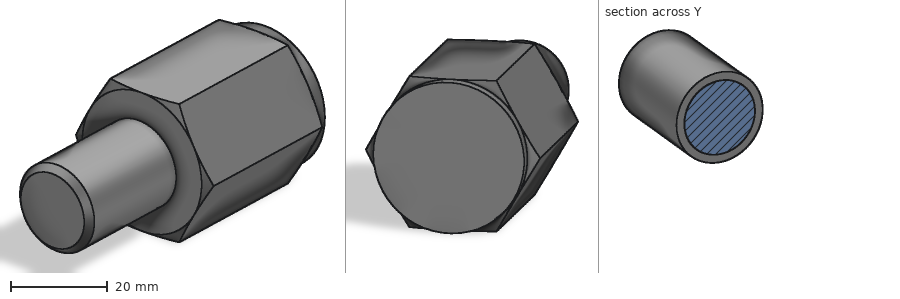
import cadquery as cq
import math

across_flats = 32.0
across_corners = across_flats / math.cos(math.radians(30))
hex_length = 37.0
corner_chamfer_angle = 20.0

collar_diameter = across_flats
collar_length = 3.0

undercut_diameter = 16.4
undercut_length = 1.0
stud_diameter = 20.0
stud_length = 28.0
tip_chamfer = 1.5

hex_front = 0.0
hex_back = hex_front + hex_length
undercut_front = hex_front - undercut_length
stud_tip = undercut_front - stud_length


def prism_plane(y):
    """Plane across the part axis whose extrusions run toward +Y."""
    return cq.Plane(origin=(0, y, 0), xDir=(1, 0, 0), normal=(0, 1, 0))


def cylinder(y_start, length, diameter):
    return cq.Workplane(prism_plane(y_start)).circle(diameter / 2).extrude(length)


def hexagon():
    """Hexagonal prism with its corners turned down to a cone at both ends."""
    prism = cq.Workplane(prism_plane(hex_front)).polygon(6, across_corners).extrude(hex_length)
    face_radius = across_flats / 2
    corner_radius = across_corners / 2
    cone_depth = (corner_radius - face_radius) * math.tan(math.radians(corner_chamfer_angle))
    envelope = (
        cq.Workplane("XY")
        .moveTo(0, hex_front)
        .lineTo(face_radius, hex_front)
        .lineTo(corner_radius, hex_front + cone_depth)
        .lineTo(corner_radius, hex_back - cone_depth)
        .lineTo(face_radius, hex_back)
        .lineTo(0, hex_back)
        .close()
        .revolve(360, (0, 0, 0), (0, 1, 0))
    )
    return prism.intersect(envelope)


def stud():
    return cylinder(stud_tip, stud_length, stud_diameter).faces("<Y").chamfer(tip_chamfer)


collar = cylinder(hex_back, collar_length, collar_diameter)
undercut = cylinder(undercut_front, undercut_length, undercut_diameter)

result = hexagon().union(collar).union(undercut).union(stud())